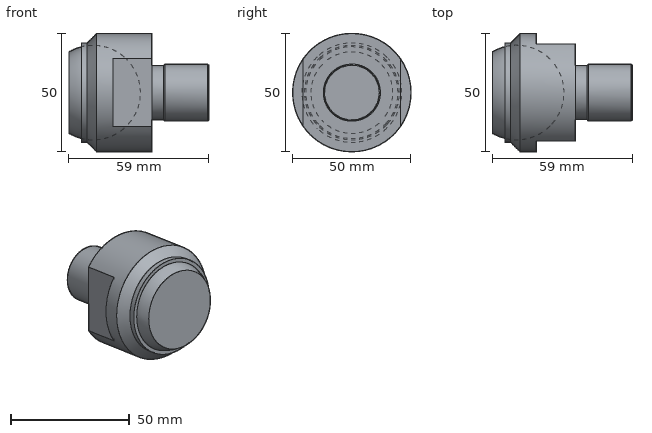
import cadquery as cq
import math

total_length = 59.0
head_diameter = 50.0

ball_radius = 20.0
ball_face_radius = 17.2
ball_center_x = math.sqrt(ball_radius**2 - ball_face_radius**2)

head_radius = head_diameter / 2
rim_radius = 21.0
rim_front_x = 5.25
rim_back_x = 7.7
cone_length = head_radius - rim_radius
cone_back_x = rim_back_x + cone_length
head_back_x = 35.0

across_flats = 41.0
flat_front_x = 18.6

neck_radius = 11.45
shank_radius = 12.05
shank_front_x = 39.9
shank_chamfer = 0.5


def make_ball():
    """Sphere cut off by the plane X = 0, which leaves a flat front face."""
    return (
        cq.Workplane("XY")
        .lineTo(0, ball_face_radius)
        .threePointArc((ball_center_x, ball_radius), (ball_center_x + ball_radius, 0))
        .close()
        .revolve(360, (0, 0, 0), (1, 0, 0))
    )


def make_turned_body():
    """Rim, cone, head, neck and end-chamfered shank as one turned solid."""
    taper_length = shank_radius - neck_radius
    profile = [
        (rim_front_x, 0),
        (rim_front_x, rim_radius),
        (rim_back_x, rim_radius),
        (cone_back_x, head_radius),
        (head_back_x, head_radius),
        (head_back_x, neck_radius),
        (shank_front_x, neck_radius),
        (shank_front_x + taper_length, shank_radius),
        (total_length - shank_chamfer, shank_radius),
        (total_length, shank_radius - shank_chamfer),
        (total_length, 0),
    ]
    return cq.Workplane("XY").polyline(profile).close().revolve(360, (0, 0, 0), (1, 0, 0))


def cut_wrench_flats(body):
    """Remove a slab from each side of the head to leave two parallel flats."""
    flat_length = head_back_x - flat_front_x
    slab_depth = head_radius - across_flats / 2
    for side in (-1, 1):
        slab_y = side * (across_flats + slab_depth) / 2
        slab = (
            cq.Workplane("XY")
            .box(flat_length, slab_depth, head_diameter, centered=(False, True, True))
            .translate((flat_front_x, slab_y, 0))
        )
        body = body.cut(slab)
    return body


def make_housing(ball):
    """Turned body with wrench flats and a socket that fits the ball."""
    return cut_wrench_flats(make_turned_body()).cut(ball)


ball = make_ball()
housing = make_housing(ball)

result = cq.Compound.makeCompound([housing.val(), ball.val()])